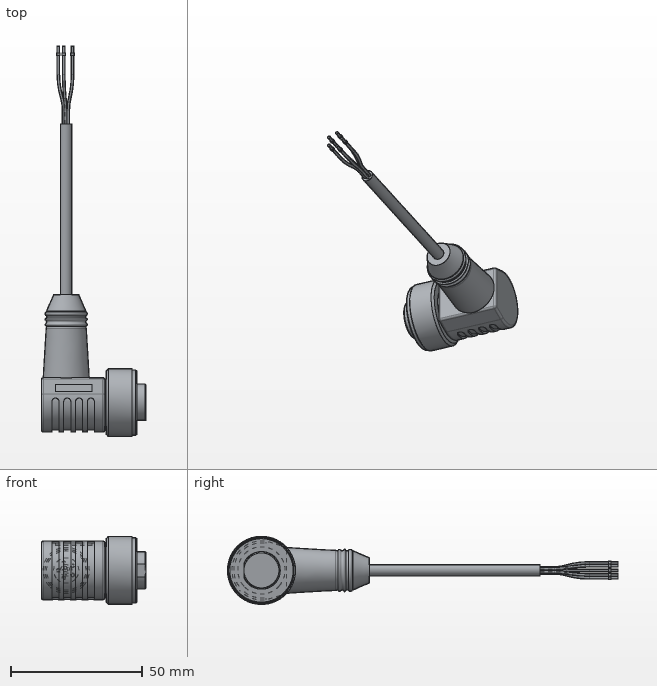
import cadquery as cq
import math


body_radius = 22.5 / 2
body_start = -9.5
body_end = 14.75
body_top = 9.6
body_slope = 17.0
body_rounding = 0.9

groove_count = 4
groove_pitch = 4.5
groove_first = -4.1
groove_width = 2.7
groove_floor_radius = 21.0 / 2
groove_end_y = 1.75
mark_x = 2.9
mark_length = 14.0
mark_width = 2.8
mark_distance = 2.4
mark_depth = 0.1

neck_radius = 18.0 / 2
nut_radius = 26.0 / 2
nut_start = 15.2
nut_back_chamfer = 0.9
nut_rim_radius = 25.0 / 2
nut_grip_end = 25.1
nut_end = 26.9
nut_rim_chamfer = 0.4
insert_radius = 14.35 / 2
insert_end = 30.5
insert_chamfer = 0.5
insert_flat_width = 5.0

sleeve_base_radius = 17.6 / 2
sleeve_base_y = body_top
sleeve_top_radius = 15.4 / 2
sleeve_top_y = 28.2
sleeve_core_radius = 15.0 / 2
sleeve_cone_y = 35.0
sleeve_tip_radius = 9.6 / 2
sleeve_tip_y = 41.2
rib_radius = 16.1 / 2
double_rib_y = 30.7
double_rib_spacing = 1.8
double_rib_width = 3.2
rib_flank_slope = 0.7
single_rib_y = 33.9
single_rib_width = 1.5

cable_radius = 4.4 / 2
cable_end = 106.3
wire_count = 5
wire_radius = 1.05 / 2
collar_radius = 1.4 / 2
bundle_radius = 1.0
splay_radius = 3.0
bend_start = 111.7
bend_middle = 116.2
bend_end = 125.1
collar_start = 132.4
collar_end = 133.3
wire_end = 136.0
embedding = 1.0


def x_cylinder(radius, start, end):
    """Cylinder on the X axis between two X positions."""
    return cq.Workplane("YZ").workplane(offset=start).circle(radius).extrude(end - start)


def make_housing():
    """Round section whose sides taper tangentially up to a flat on the cable side."""
    slope = math.radians(body_slope)
    tangent_y = body_radius * math.sin(slope)
    tangent_z = body_radius * math.cos(slope)
    flat_half = tangent_z - (body_top - tangent_y) * math.tan(slope)
    housing = (
        cq.Workplane("YZ")
        .workplane(offset=body_start)
        .moveTo(body_top, -flat_half)
        .lineTo(body_top, flat_half)
        .lineTo(tangent_y, tangent_z)
        .threePointArc((-body_radius, 0), (tangent_y, -tangent_z))
        .close()
        .extrude(body_end - body_start)
    )
    flat_edges = cq.selectors.BoxSelector(
        (body_start, body_top - body_rounding, -body_radius),
        (body_end, body_top + body_rounding, body_radius),
    )
    housing = housing.edges("|X").edges(flat_edges).fillet(body_rounding)
    housing = housing.faces("<X or >X").edges().fillet(body_rounding)
    return housing.cut(make_grooves()).cut(make_mark(tangent_y, tangent_z))


def make_grooves():
    """Parallel grooves around the housing, each with a round end on the top and the bottom."""
    end_radius = groove_width / 2
    run_start = -2 * body_radius
    run_end = groove_end_y - end_radius
    slots = cq.Workplane("XY")
    for index in range(groove_count):
        x = groove_first + index * groove_pitch
        slot = (
            cq.Workplane("XY")
            .moveTo(x - end_radius, run_start)
            .lineTo(x - end_radius, run_end)
            .threePointArc((x, groove_end_y), (x + end_radius, run_end))
            .lineTo(x + end_radius, run_start)
            .close()
            .extrude(body_radius * 2, both=True)
        )
        slots = slots.add(slot)
    core = x_cylinder(groove_floor_radius, body_start, body_end)
    return slots.combine().cut(core)


def make_mark(tangent_y, tangent_z):
    """Shallow rectangular recess in the upper tapered side."""
    slope = math.radians(body_slope)
    centre_y = tangent_y + mark_distance * math.cos(slope)
    centre_z = tangent_z - mark_distance * math.sin(slope)
    side = cq.Plane(
        origin=(mark_x, centre_y, centre_z),
        xDir=(1, 0, 0),
        normal=(0, math.sin(slope), math.cos(slope)),
    )
    return cq.Workplane(side).rect(mark_length, mark_width).extrude(mark_depth, both=True)


def make_nut():
    """Neck behind the nut, the chamfered grip ring and the smaller rim at its mouth."""
    neck = x_cylinder(neck_radius, body_end - body_rounding, nut_grip_end)
    grip = x_cylinder(nut_radius, nut_start, nut_grip_end).faces("<X").chamfer(nut_back_chamfer)
    rim = x_cylinder(nut_rim_radius, nut_grip_end, nut_end).faces(">X").chamfer(nut_rim_chamfer)
    return neck.union(grip).union(rim)


def make_insert():
    """Round contact insert with a flat on the -Y side."""
    insert = x_cylinder(insert_radius, nut_grip_end, insert_end).faces(">X").chamfer(insert_chamfer)
    flat_y = -math.sqrt(insert_radius**2 - (insert_flat_width / 2) ** 2)
    removed = (
        cq.Workplane("XY")
        .box(insert_end - nut_end, insert_radius, 2 * insert_radius, centered=(False, False, True))
        .translate((nut_end, flat_y - insert_radius, 0))
    )
    return insert.cut(removed)


def make_sleeve():
    """Tapered sleeve with rounded ribs, turned around the cable axis."""
    profile = (
        cq.Workplane("XY")
        .moveTo(0, 0)
        .lineTo(sleeve_base_radius, 0)
        .lineTo(sleeve_base_radius, sleeve_base_y)
        .lineTo(sleeve_top_radius, sleeve_top_y)
    )
    double_rib = [
        (rib_radius, double_rib_y - double_rib_spacing / 2),
        (sleeve_core_radius, double_rib_y),
        (rib_radius, double_rib_y + double_rib_spacing / 2),
        (sleeve_core_radius, double_rib_y + double_rib_width / 2),
    ]
    rib_flanks = [(1, rib_flank_slope), (-1, rib_flank_slope)]
    single_rib_end = (sleeve_core_radius, single_rib_y + single_rib_width / 2)
    profile = (
        profile.lineTo(sleeve_core_radius, double_rib_y - double_rib_width / 2)
        .spline(double_rib, tangents=rib_flanks, includeCurrent=True)
        .lineTo(sleeve_core_radius, single_rib_y - single_rib_width / 2)
        .threePointArc((rib_radius, single_rib_y), single_rib_end)
        .lineTo(sleeve_core_radius, sleeve_cone_y)
        .lineTo(sleeve_tip_radius, sleeve_tip_y)
        .lineTo(0, sleeve_tip_y)
        .close()
    )
    return profile.revolve(360, (0, 0, 0), (0, 1, 0))


def make_cable():
    """Round cable from inside the sleeve tip to where the wires come out."""
    start = sleeve_tip_y - embedding
    return cq.Workplane("XZ", origin=(0, start, 0)).circle(cable_radius).extrude(start - cable_end)


def make_wire():
    """One wire with its collar: two opposed arcs in the XY plane carry it out from the bundle."""
    wire_root = cable_end - embedding
    half_bend = math.atan((splay_radius - bundle_radius) / (bend_end - bend_start))
    middle_x = bundle_radius + (bend_middle - bend_start) * math.tan(half_bend)
    path = (
        cq.Workplane("XY")
        .moveTo(bundle_radius, wire_root)
        .lineTo(bundle_radius, bend_start)
        .tangentArcPoint((middle_x, bend_middle), relative=False)
        .tangentArcPoint((splay_radius, bend_end), relative=False)
        .lineTo(splay_radius, wire_end)
    )
    wire = cq.Workplane("XZ", origin=(bundle_radius, wire_root, 0)).circle(wire_radius).sweep(path)
    collar = (
        cq.Workplane("XZ", origin=(splay_radius, collar_start, 0))
        .circle(collar_radius)
        .extrude(collar_start - collar_end)
    )
    return wire.union(collar)


def make_wires():
    """Wires spread evenly around the cable axis, the first one pointing to -X."""
    wire = make_wire()
    wires = cq.Workplane("XY")
    for index in range(wire_count):
        angle = 180 + index * 360 / wire_count
        wires = wires.union(wire.rotate((0, 0, 0), (0, 1, 0), angle))
    return wires


result = (
    make_housing()
    .union(make_nut())
    .union(make_insert())
    .union(make_sleeve())
    .union(make_cable())
    .union(make_wires())
)